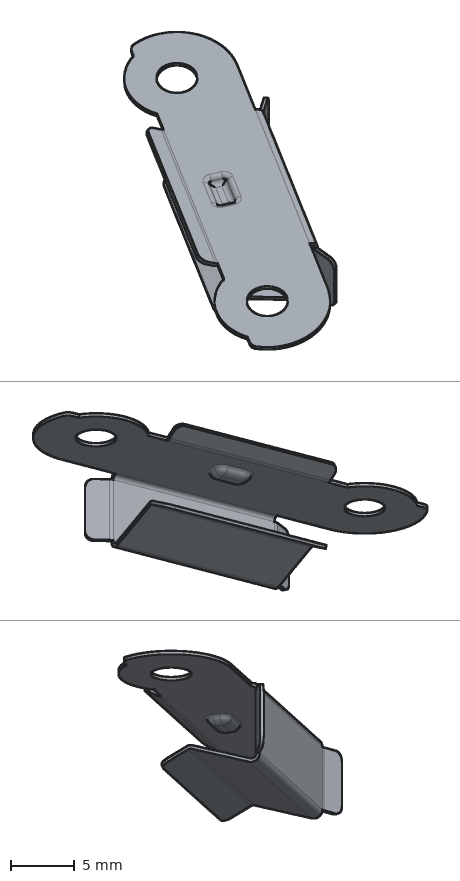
import math
import cadquery as cq

SHEET = 0.3
INNER_BEND = 0.37
OUTER_BEND = INNER_BEND + SHEET
MID_BEND = INNER_BEND + SHEET / 2

HOLE_X = 12.5
HOLE_DIAMETER = 3.2
END_RADIUS = 4.95
LOBE_RADIUS = 4.15
FRONT_Y = -2.58
BACK_Y = END_RADIUS
END_CORNER_RADIUS = 0.7

CLIP_WIDTH = 15.0
CORNER_RADIUS = 0.7
WALL_HEIGHT = 5.21
ARM_RISE_ANGLE = 18.5
ARM_RISE_LENGTH = 5.05
ARM_DROP_ANGLE = 26.5
ARM_DROP_LENGTH = 2.55
LIP_ANGLE = 30.5
LIP_LENGTH = 1.43
WING_ANGLE = 29.0
WING_LENGTH = 1.92

DIMPLE_FLOOR_X = 1.78
DIMPLE_FLOOR_Y = 0.52
DIMPLE_SLOPE_WIDTH = 0.95
DIMPLE_DEPTH = 0.62
DIMPLE_BOWL_CORNER = 0.25
DIMPLE_TURN = 2 * math.atan(DIMPLE_DEPTH / DIMPLE_SLOPE_WIDTH)
DIMPLE_BEND = DIMPLE_SLOPE_WIDTH / 2 / math.sin(DIMPLE_TURN)

WALL_OUTER_Y = BACK_Y + OUTER_BEND
WALL_TOP_Z = -OUTER_BEND
WALL_BOTTOM_Z = WALL_TOP_Z - WALL_HEIGHT


def strip_outline(plane, start, heading, steps):
    """Closed outline of a bent strip, traced along its middle line.

    Each step is ("flat", length) or ("bend", angle); positive angles turn left.
    """
    x, y = start
    left, right = [], []

    def edge_point(px, py, angle, side):
        turned = math.radians(angle + 90)
        offset = side * SHEET / 2
        return (px + offset * math.cos(turned), py + offset * math.sin(turned))

    first_heading = heading
    for kind, amount in steps:
        middle = None
        if kind == "flat":
            x += amount * math.cos(math.radians(heading))
            y += amount * math.sin(math.radians(heading))
        else:
            chord = 2 * MID_BEND * math.sin(math.radians(abs(amount) / 4))
            points = []
            for _ in range(2):
                chord_heading = math.radians(heading + amount / 4)
                x += chord * math.cos(chord_heading)
                y += chord * math.sin(chord_heading)
                heading += amount / 2
                points.append((x, y, heading))
            middle = points[0]
        for side, edge in ((1, left), (-1, right)):
            via = edge_point(*middle, side) if middle else None
            edge.append((via, edge_point(x, y, heading, side)))

    left_start = edge_point(*start, first_heading, 1)
    right_start = edge_point(*start, first_heading, -1)
    outline = cq.Workplane(plane).moveTo(*left_start)
    for via, end in left:
        outline = outline.threePointArc(via, end) if via else outline.lineTo(*end)
    outline = outline.lineTo(*right[-1][1])
    right_ends = [right_start] + [end for _, end in right]
    for index in range(len(right) - 1, -1, -1):
        via = right[index][0]
        end = right_ends[index]
        outline = outline.threePointArc(via, end) if via else outline.lineTo(*end)
    return outline.close()


def mounting_plate():
    """Flat plate with round ends, front lobes and two mounting holes."""
    end_reach = math.sqrt(END_RADIUS**2 - FRONT_Y**2)
    corner_x = HOLE_X + end_reach
    diagonal = END_RADIUS * math.sqrt(0.5)
    plate = (
        cq.Workplane("XY", origin=(0, 0, -SHEET))
        .moveTo(-corner_x, FRONT_Y)
        .lineTo(corner_x, FRONT_Y)
        .threePointArc((HOLE_X + diagonal, diagonal), (HOLE_X, BACK_Y))
        .lineTo(-HOLE_X, BACK_Y)
        .threePointArc((-HOLE_X - diagonal, diagonal), (-corner_x, FRONT_Y))
        .close()
        .extrude(SHEET)
        .edges("|Z and <Y")
        .fillet(END_CORNER_RADIUS)
    )
    hole_places = [(-HOLE_X, 0), (HOLE_X, 0)]
    lobes = (
        cq.Workplane("XY", origin=(0, 0, -SHEET))
        .pushPoints(hole_places)
        .circle(LOBE_RADIUS)
        .extrude(SHEET)
    )
    holes = (
        cq.Workplane("XY", origin=(0, 0, -SHEET))
        .pushPoints(hole_places)
        .circle(HOLE_DIAMETER / 2)
        .extrude(SHEET)
    )
    return plate.union(lobes).cut(holes)


def spring_clip():
    """Wall bent down from the back edge, and the spring arm returning below the plate."""
    steps = [
        ("bend", -90),
        ("flat", WALL_HEIGHT),
        ("bend", -90 - ARM_RISE_ANGLE),
        ("flat", ARM_RISE_LENGTH),
        ("bend", ARM_RISE_ANGLE + ARM_DROP_ANGLE),
        ("flat", ARM_DROP_LENGTH),
    ]
    strip = strip_outline("YZ", (BACK_Y, -SHEET / 2), 0, steps).extrude(CLIP_WIDTH / 2, both=True)
    drop = math.radians(ARM_DROP_ANGLE)
    return round_free_corners(strip, (0, -math.cos(drop), -math.sin(drop)))


def lip():
    """Short lip bent up from the front edge of the plate."""
    steps = [("bend", -LIP_ANGLE), ("flat", LIP_LENGTH)]
    strip = strip_outline("YZ", (FRONT_Y, -SHEET / 2), 180, steps).extrude(CLIP_WIDTH / 2, both=True)
    rise = math.radians(LIP_ANGLE)
    return round_free_corners(strip, (0, -math.cos(rise), math.sin(rise)))


def right_wing():
    """Wing bent backwards from the +X side of the wall."""
    steps = [("bend", WING_ANGLE), ("flat", WING_LENGTH)]
    start = (CLIP_WIDTH / 2, WALL_OUTER_Y - SHEET / 2)
    wing = (
        strip_outline("XY", start, 0, steps)
        .extrude(WALL_HEIGHT)
        .translate((0, 0, WALL_BOTTOM_Z))
    )
    turn = math.radians(WING_ANGLE)
    return round_free_corners(wing, (math.cos(turn), math.sin(turn), 0))


def round_free_corners(strip, direction):
    """Round the two corners of the end face that lies furthest along a direction."""
    end_face = strip.faces(cq.selectors.DirectionMinMaxSelector(cq.Vector(*direction), True))
    short_edges = [edge for edge in end_face.edges().vals() if edge.Length() < 2 * SHEET]
    return strip.newObject(short_edges).fillet(CORNER_RADIUS)


def floor_arc_point(angle, radius):
    """Point (distance from floor edge, Z) on the lower arc of the dimple slope."""
    center_z = DIMPLE_BEND - DIMPLE_DEPTH
    return (radius * math.sin(angle), center_z - radius * math.cos(angle))


def mouth_arc_point(angle, radius):
    """Point (distance from floor edge, Z) on the upper arc of the dimple slope."""
    return (DIMPLE_SLOPE_WIDTH - radius * math.sin(angle), radius * math.cos(angle) - DIMPLE_BEND)


def bowl_trough(plane, floor_width, length):
    """Straight trough with a flat floor between two rounded sides."""
    half = floor_width / 2
    via_x, via_z = floor_arc_point(DIMPLE_TURN / 2, DIMPLE_BEND)
    top_x, top_z = floor_arc_point(DIMPLE_TURN, DIMPLE_BEND)
    return (
        cq.Workplane(plane)
        .moveTo(-half - top_x, 0)
        .lineTo(-half - top_x, top_z)
        .threePointArc((-half - via_x, via_z), (-half, -DIMPLE_DEPTH))
        .lineTo(half, -DIMPLE_DEPTH)
        .threePointArc((half + via_x, via_z), (half + top_x, top_z))
        .lineTo(half + top_x, 0)
        .close()
        .extrude(length / 2, both=True)
    )


def flare_section(plane, origin):
    """Rounded flare around the bowl, from its upper edge to the mouth."""
    edge = mouth_arc_point(DIMPLE_TURN, DIMPLE_BEND)
    return (
        cq.Workplane(plane, origin=origin)
        .moveTo(edge[0], 0)
        .lineTo(*edge)
        .threePointArc(mouth_arc_point(DIMPLE_TURN / 2, DIMPLE_BEND), (DIMPLE_SLOPE_WIDTH, 0))
        .close()
    )


def bump_section(plane, origin):
    """Slope on the underside of the plate, from floor edge to mouth."""
    floor_radius = DIMPLE_BEND + SHEET
    mouth_radius = DIMPLE_BEND - SHEET
    return (
        cq.Workplane(plane, origin=origin)
        .moveTo(0, -SHEET)
        .lineTo(DIMPLE_SLOPE_WIDTH, -SHEET)
        .threePointArc(
            mouth_arc_point(DIMPLE_TURN / 2, mouth_radius),
            mouth_arc_point(DIMPLE_TURN, mouth_radius),
        )
        .threePointArc(
            floor_arc_point(DIMPLE_TURN / 2, floor_radius),
            floor_arc_point(0, floor_radius),
        )
        .close()
    )


def add_rim(core, section, corner_axis, length_x, length_y):
    """Add a section along all four sides of a rectangular core and round its corners."""
    half_x = DIMPLE_FLOOR_X / 2
    half_y = DIMPLE_FLOOR_Y / 2
    long_side = section("YZ", (-length_x / 2, half_y, 0)).extrude(length_x)
    short_side = section("XZ", (half_x, length_y / 2, 0)).extrude(length_y)
    corner = (
        section("XZ", (half_x, length_y / 2, 0))
        .revolve(90, (corner_axis, 0), (corner_axis, 1))
    )
    corner_pair = corner.union(corner.mirror("YZ"))
    for side in (long_side, short_side):
        core = core.union(side).union(side.rotate((0, 0, 0), (0, 0, 1), 180))
    return core.union(corner_pair).union(corner_pair.mirror("XZ"))


def dimple_cavity():
    """Hollow of the dimple: bowl with sloped sides below a flared mouth with rounded corners."""
    edge_offset = floor_arc_point(DIMPLE_TURN, DIMPLE_BEND)[0]
    bowl_x = DIMPLE_FLOOR_X + 2 * edge_offset
    bowl_y = DIMPLE_FLOOR_Y + 2 * edge_offset
    corner_prism = (
        cq.Workplane("XY", origin=(0, 0, -DIMPLE_DEPTH))
        .rect(bowl_x, bowl_y)
        .extrude(DIMPLE_DEPTH)
        .edges("|Z")
        .fillet(DIMPLE_BOWL_CORNER)
    )
    bowl = (
        bowl_trough("YZ", DIMPLE_FLOOR_Y, bowl_x)
        .intersect(bowl_trough("XZ", DIMPLE_FLOOR_X, bowl_y))
        .intersect(corner_prism)
    )
    corner_axis = edge_offset - DIMPLE_BOWL_CORNER
    straight_x = bowl_x - 2 * DIMPLE_BOWL_CORNER
    straight_y = bowl_y - 2 * DIMPLE_BOWL_CORNER
    return add_rim(bowl, flare_section, corner_axis, straight_x, straight_y)


def dimple_bump():
    """Raised side of the dimple, below the plate."""
    core = (
        cq.Workplane("XY", origin=(0, 0, -DIMPLE_DEPTH - SHEET))
        .rect(DIMPLE_FLOOR_X, DIMPLE_FLOOR_Y)
        .extrude(DIMPLE_DEPTH)
    )
    return add_rim(core, bump_section, 0, DIMPLE_FLOOR_X, DIMPLE_FLOOR_Y)


wing = right_wing()
result = (
    mounting_plate()
    .union(dimple_bump())
    .cut(dimple_cavity())
    .union(spring_clip())
    .union(lip())
    .union(wing)
    .union(wing.mirror("YZ"))
)